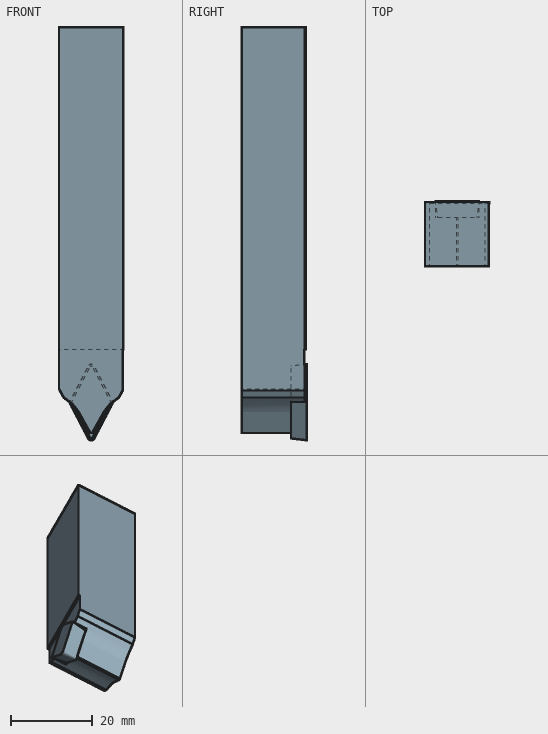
import cadquery as cq
import math

length_top = 101.4
shank_width = 15.9
shank_depth = 15.8
lip_thickness = 0.4
side_step = 0.2
relief_height = 22.3

insert_face_y = 16.0
insert_thickness = 4.0
inscribed_diameter = 9.5
half_point_angle = 27.5
nose_radius = 0.8
clearance_angle = 7.0

shoulder_height = 12.7
shoulder_bottom_half_width = 6.8
shoulder_bottom = 10.5
slope_end_half_width = 5.4
slope_end = 9.4
blend_middle_half_width = 4.0
blend_middle = 8.1
flank_half_width = 3.0
flank_top = 6.9
nose_bottom = 1.8
nose_half_width = 0.2

half_width = shank_width / 2
core_depth = shank_depth - lip_thickness
seat_y = insert_face_y - insert_thickness
half_angle = math.radians(half_point_angle)
half_diagonal = inscribed_diameter / 2 / math.sin(half_angle)
insert_half_width = inscribed_diameter / 2 / math.cos(half_angle)
nose_inset = nose_radius * (1 / math.sin(half_angle) - 1)
insert_center_z = half_diagonal - nose_inset


def make_insert():
    """Rhombus with two rounded points, tapering from its cutting face to its seat."""
    corners = [
        (0, insert_center_z - half_diagonal),
        (insert_half_width, insert_center_z),
        (0, insert_center_z + half_diagonal),
        (-insert_half_width, insert_center_z),
    ]
    outline = cq.Sketch().polygon(corners + corners[:1])
    outline = outline.vertices(">Y or <Y").fillet(nose_radius)
    return (
        cq.Workplane("XZ", origin=(0, insert_face_y, 0))
        .placeSketch(outline)
        .extrude(insert_thickness, taper=clearance_angle)
    )


def make_holder_blank():
    """Square shank running down to the symmetric pointed nose."""
    return (
        cq.Workplane("XZ")
        .moveTo(-half_width, length_top)
        .lineTo(-half_width, shoulder_height)
        .lineTo(-shoulder_bottom_half_width, shoulder_bottom)
        .lineTo(-slope_end_half_width, slope_end)
        .threePointArc((-blend_middle_half_width, blend_middle), (-flank_half_width, flank_top))
        .lineTo(-nose_half_width, nose_bottom)
        .lineTo(nose_half_width, nose_bottom)
        .lineTo(flank_half_width, flank_top)
        .threePointArc((blend_middle_half_width, blend_middle), (slope_end_half_width, slope_end))
        .lineTo(shoulder_bottom_half_width, shoulder_bottom)
        .lineTo(half_width, shoulder_height)
        .lineTo(half_width, length_top)
        .close()
        .extrude(-shank_depth)
    )


def cut_side_relief(holder):
    """Set the +X side back, leaving a thin lip along the +Y side of the shank."""
    side = cq.Workplane("XY").box(side_step, core_depth, length_top, centered=False)
    return holder.cut(side.translate((half_width - side_step, 0, 0)))


def cut_head_relief(holder):
    """Remove the thin lip layer from the +Y side of the head."""
    layer = cq.Workplane("XY").box(shank_width, lip_thickness, relief_height, centered=False)
    return holder.cut(layer.translate((-half_width, core_depth, 0)))


def cut_insert_pocket(holder, insert):
    """Clear the holder below the widest part of the insert and around its upper half."""
    opening = cq.Workplane("XY").box(shank_width, insert_thickness, insert_center_z, centered=False)
    holder = holder.cut(opening.translate((-half_width, seat_y, 0)))
    return holder.cut(insert)


insert = make_insert()
blank = cut_head_relief(cut_side_relief(make_holder_blank()))
holder = cut_insert_pocket(blank, insert)

result = cq.Compound.makeCompound([holder.val(), insert.val()])